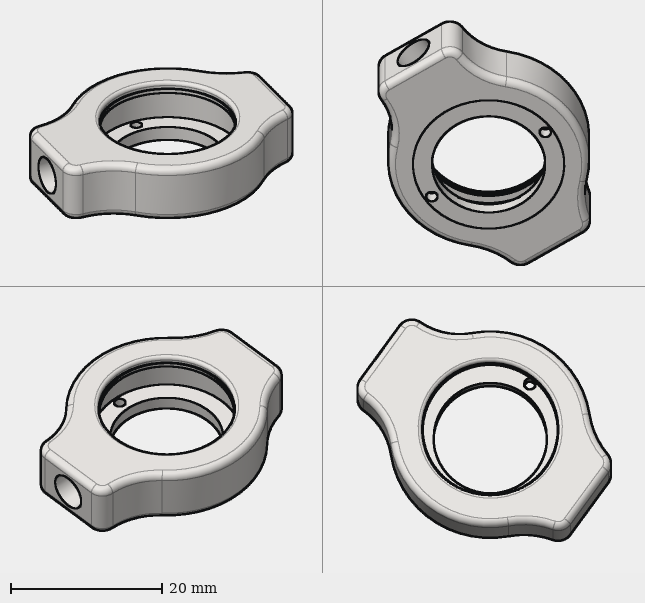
import cadquery as cq
import math

thickness = 8.0
half_thickness = thickness / 2
ring_radius = 13.3
blend_angle = math.radians(46)
front_end = -17.92
back_end = 16.08
front_blend_radius = 9.0
back_blend_radius = 11.0
corner_radius = 2.0
edge_radius = 1.0

lip_radius = 9.0
lip_round = 0.5
lip_depth = 1.0
chamber_radius = 10.0
floor_depth = 6.0

retainer_inner_radius = 8.9
retainer_height = 0.6
washer_hole_radius = 7.48
pin_hole_diameter = 1.5
pin_hole_offset = 9.0

drill_diameter = 5.0
drill_depth = 5.0
drill_tip_angle = math.radians(118)

top_z = half_thickness
bottom_z = -half_thickness
lip_bottom_z = top_z - lip_depth
floor_z = top_z - floor_depth


def cylinder(radius, low_z, high_z):
    return cq.Workplane("XY").workplane(offset=low_z).circle(radius).extrude(high_z - low_z)


def blend_points(blend_radius, end_y):
    """Start, middle and end of the hollow arc from the ring to a tab end, for positive X."""
    side = math.copysign(1, end_y)
    centre_x = (ring_radius + blend_radius) * math.cos(blend_angle)
    centre_y = side * (ring_radius + blend_radius) * math.sin(blend_angle)
    start_angle = math.atan2(-centre_y, -centre_x)
    corner_rise = end_y - centre_y
    corner_run = -math.sqrt(blend_radius**2 - corner_rise**2)
    end_angle = math.atan2(corner_rise, corner_run)
    sweep = math.remainder(end_angle - start_angle, 2 * math.pi)
    angles = [start_angle + sweep * part for part in (0, 0.5, 1)]
    return [(centre_x + blend_radius * math.cos(a), centre_y + blend_radius * math.sin(a)) for a in angles]


def mirrored(point):
    return (-point[0], point[1])


def make_blank():
    front_start, front_middle, front_corner = blend_points(front_blend_radius, front_end)
    back_start, back_middle, back_corner = blend_points(back_blend_radius, back_end)
    blank = (
        cq.Workplane("XY").workplane(offset=bottom_z)
        .moveTo(*front_corner)
        .threePointArc(front_middle, front_start)
        .threePointArc((ring_radius, 0), back_start)
        .threePointArc(back_middle, back_corner)
        .lineTo(*mirrored(back_corner))
        .threePointArc(mirrored(back_middle), mirrored(back_start))
        .threePointArc((-ring_radius, 0), mirrored(front_start))
        .threePointArc(mirrored(front_middle), mirrored(front_corner))
        .close()
        .extrude(thickness)
    )
    blank = blank.edges("|Z and (<Y or >Y)").fillet(corner_radius)
    return blank.faces("<Z or >Z").edges().fillet(edge_radius)


def make_lip_opening():
    """Opening through the top lip, flared by its rounded rim."""
    rim_middle = lip_round * (1 - math.sqrt(0.5))
    return (
        cq.Workplane("XZ")
        .moveTo(0, top_z)
        .lineTo(lip_radius + lip_round, top_z)
        .threePointArc((lip_radius + rim_middle, top_z - rim_middle), (lip_radius, top_z - lip_round))
        .lineTo(lip_radius, lip_bottom_z)
        .lineTo(0, lip_bottom_z)
        .close()
        .revolve(360, (0, 0, 0), (0, 1, 0))
    )


def make_drill():
    radius = drill_diameter / 2
    tip_y = front_end + drill_depth + radius / math.tan(drill_tip_angle / 2)
    return (
        cq.Workplane("XY")
        .polyline([(0, front_end), (radius, front_end), (radius, front_end + drill_depth), (0, tip_y)])
        .close()
        .revolve(360, (0, 0, 0), (0, 1, 0))
    )


def make_housing():
    return (
        make_blank()
        .cut(make_lip_opening())
        .cut(cylinder(chamber_radius, bottom_z, lip_bottom_z))
        .cut(make_drill())
    )


def make_retainer():
    retainer_bottom_z = lip_bottom_z - retainer_height
    opening = cylinder(retainer_inner_radius, retainer_bottom_z, lip_bottom_z)
    return cylinder(chamber_radius, retainer_bottom_z, lip_bottom_z).cut(opening)


def make_washer():
    pin_holes = (
        cq.Workplane("XY").workplane(offset=bottom_z)
        .pushPoints([(-pin_hole_offset, 0), (pin_hole_offset, 0)])
        .circle(pin_hole_diameter / 2)
        .extrude(thickness)
    )
    washer = cylinder(chamber_radius, bottom_z, floor_z)
    return washer.cut(cylinder(washer_hole_radius, bottom_z, floor_z)).cut(pin_holes)


housing = make_housing()
retainer = make_retainer()
washer = make_washer()

result = cq.Compound.makeCompound([housing.val(), retainer.val(), washer.val()])